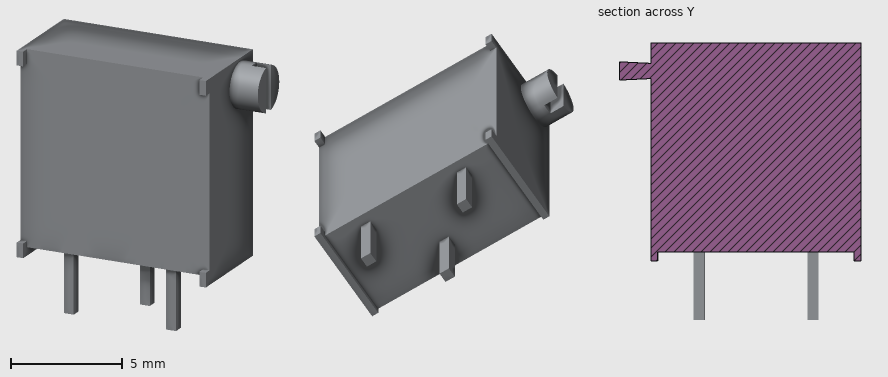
import cadquery as cq

body_width = 9.4
body_depth = 4.8
body_height = 9.77

foot_width = 0.32
foot_height = 0.7
standoff = 0.4

pin_size = 0.5
pin_length = 2.63
pin_pitch = 2.54
pin_row_y = pin_pitch / 2
pin_positions = [(-pin_pitch, -pin_row_y), (0, pin_row_y), (pin_pitch, -pin_row_y)]

screw_diameter = 2.2
screw_length = 1.4
screw_from_back = 1.28
screw_from_top = 1.26
slot_width = 0.5
slot_depth = 0.7

turn_angle = -1.0

front_y = -body_depth / 2
side_x = body_width / 2
inner_width = body_width - 2 * foot_width


def box_from(width, depth, height, x, y, z):
    """Box centred on x, with its front at y and its bottom at z."""
    return cq.Workplane("XY").box(width, depth, height, centered=(True, False, False)).translate((x, y, z))


def make_housing():
    housing = box_from(body_width, body_depth, body_height, 0, front_y, 0)
    full_height_recess = box_from(inner_width, standoff, body_height, 0, front_y, 0)
    full_width_recess = box_from(
        body_width, standoff, body_height - 2 * foot_height, 0, front_y, foot_height
    )
    underside_recess = box_from(inner_width, body_depth, standoff, 0, front_y, 0)
    return housing.cut(full_height_recess).cut(full_width_recess).cut(underside_recess)


def make_pin(x, y):
    return box_from(pin_size, pin_size, pin_length + standoff, x, y - pin_size / 2, -pin_length)


def make_screw():
    screw_y = body_depth / 2 - screw_from_back
    screw_z = body_height - screw_from_top
    shaft = (
        cq.Workplane("YZ", origin=(side_x, screw_y, screw_z))
        .circle(screw_diameter / 2)
        .extrude(screw_length)
    )
    slot = box_from(
        slot_depth,
        slot_width,
        screw_diameter,
        side_x + screw_length - slot_depth / 2,
        screw_y - slot_width / 2,
        screw_z - screw_diameter / 2,
    )
    return shaft.cut(slot)


part = make_housing().union(make_screw())
for pin_x, pin_y in pin_positions:
    part = part.union(make_pin(pin_x, pin_y))

result = part.rotate((0, 0, 0), (0, 0, 1), turn_angle)